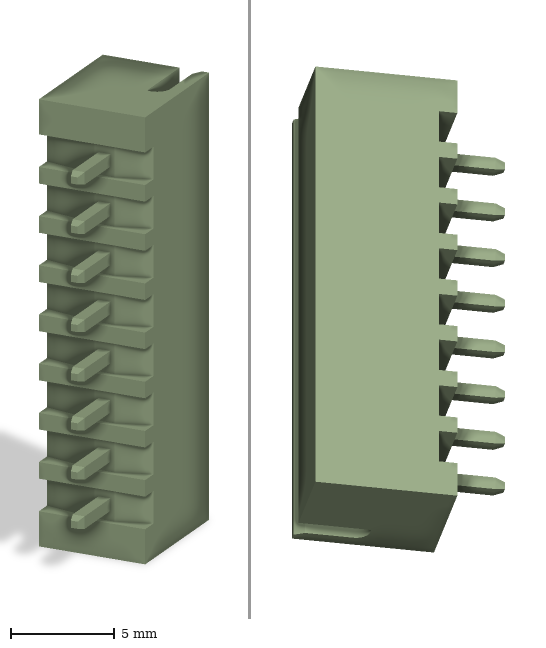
import cadquery as cq

body_width = 5.74
body_depth = 7.0
body_height = 23.05

pin_count = 8
pin_pitch = 2.53
pin_x = 3.39
pin_size = 0.65
pin_tip_size = 0.37
pin_reach = 3.0
pin_taper = 0.48

recess_height = 1.68
recess_flat_width = 1.08
recess_flat_depth = 0.32
recess_edge_depth = 0.9

slot_depth = 3.6
slot_width = 0.92
thin_wall = 0.67
slot_corner_radius = 0.71
lead_in_width = 0.28
lead_in_length = 0.5

first_pin_z = (body_height - (pin_count - 1) * pin_pitch) / 2
pin_heights = [first_pin_z + i * pin_pitch for i in range(pin_count)]


def make_body():
    return cq.Workplane("XY").box(body_width, body_depth, body_height, centered=False)


def make_slot():
    wall_x = body_width - thin_wall
    left_x = wall_x - slot_width
    floor_y = body_depth - slot_depth
    return (
        cq.Workplane("XY")
        .moveTo(left_x, body_depth)
        .lineTo(left_x, floor_y)
        .lineTo(wall_x - slot_corner_radius, floor_y)
        .radiusArc((wall_x, floor_y + slot_corner_radius), -slot_corner_radius)
        .lineTo(wall_x, body_depth - lead_in_length)
        .lineTo(wall_x + lead_in_width, body_depth)
        .close()
        .extrude(body_height)
    )


def make_recess(z):
    flat_left = pin_x - recess_flat_width / 2
    flat_right = pin_x + recess_flat_width / 2
    outline = [
        (0, 0),
        (0, recess_edge_depth),
        (flat_left, recess_flat_depth),
        (flat_right, recess_flat_depth),
        (body_width, recess_edge_depth),
        (body_width, 0),
    ]
    return (
        cq.Workplane("XY", origin=(0, 0, z - recess_height / 2))
        .polyline(outline)
        .close()
        .extrude(recess_height)
    )


def make_pin(z):
    """Square pin rooted in the recess flat, ending in a short pyramidal taper."""
    straight_end_y = pin_taper - pin_reach
    shank = (
        cq.Workplane("XZ", origin=(pin_x, recess_flat_depth, z))
        .rect(pin_size, pin_size)
        .extrude(recess_flat_depth - straight_end_y)
    )
    tip = (
        cq.Workplane("XZ", origin=(pin_x, straight_end_y, z))
        .rect(pin_size, pin_size)
        .workplane(offset=pin_taper)
        .rect(pin_tip_size, pin_tip_size)
        .loft()
    )
    return shank.union(tip)


result = make_body().cut(make_slot())
for pin_z in pin_heights:
    result = result.cut(make_recess(pin_z)).union(make_pin(pin_z))